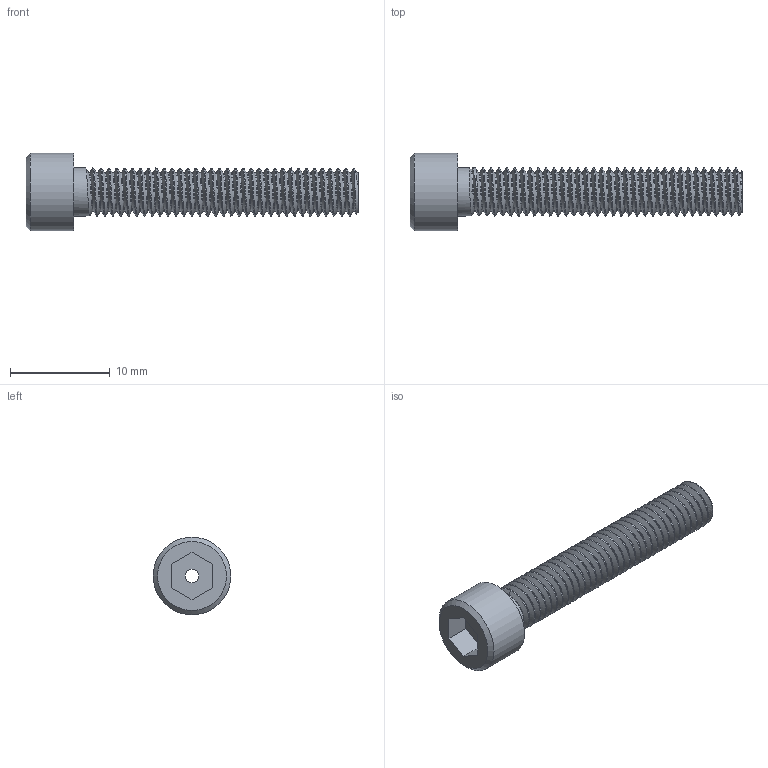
import cadquery as cq
import math

head_diameter = 7.81
head_height = 4.775
head_chamfer = 0.44
shank_length = 28.575
major_diameter = 4.826
total_length = head_height + shank_length

socket_across_flats = 4.12
socket_depth = 2.4
hex_sides = 6
hex_half_step = 180 / hex_sides
bore_diameter = 1.35

inch = 25.4
threads_per_inch = 32
pitch = inch / threads_per_inch
thread_depth = 0.49
crest_width = pitch / 8
flank_half_angle = math.radians(30)
thread_start = head_height + 1.57
overrun = 2 * pitch
groove_clearance = 0.1
minor_radius = major_diameter / 2 - thread_depth

runout_angle = math.radians(120)
runout_steps = 5

tip_face_diameter = 4.16
tip_chamfer_length = 0.33
envelope_clearance = 0.5


def make_head():
    head = cq.Workplane("YZ").circle(head_diameter / 2).extrude(head_height)
    return head.faces("<X").chamfer(head_chamfer)


def make_shank():
    shank = cq.Workplane("YZ").workplane(offset=head_height)
    return shank.circle(major_diameter / 2).extrude(shank_length)


def make_tip_envelope():
    """Round bar around the shank whose far end carries the tip chamfer."""
    chamfer_slope = (major_diameter - tip_face_diameter) / 2 / tip_chamfer_length
    envelope_radius = major_diameter / 2 + envelope_clearance
    chamfer_length = tip_chamfer_length + envelope_clearance / chamfer_slope
    envelope = cq.Workplane("XY").polyline([
        (0, 0),
        (0, envelope_radius),
        (total_length - chamfer_length, envelope_radius),
        (total_length, tip_face_diameter / 2),
        (total_length, 0),
    ]).close()
    return envelope.revolve(360, (0, 0, 0), (1, 0, 0))


def groove_outline(root_radius):
    """Corners of the V groove as (radius, axial offset) with its root at root_radius."""
    flank_slope = math.tan(flank_half_angle)
    outer_half = (pitch - crest_width) / 2 + groove_clearance * flank_slope
    root_half = (pitch - crest_width) / 2 - thread_depth * flank_slope
    outer_radius = root_radius + thread_depth + groove_clearance
    return [
        (root_radius, -root_half),
        (outer_radius, -outer_half),
        (outer_radius, outer_half),
        (root_radius, root_half),
    ]


def make_thread_groove():
    """Helical V groove, wound along Z and then laid along X to start at the top."""
    profile = cq.Workplane("XZ").polyline(groove_outline(minor_radius)).close()
    helix_length = total_length - thread_start + overrun
    helix = cq.Workplane(cq.Wire.makeHelix(pitch, helix_length, minor_radius))
    groove = profile.sweep(helix, isFrenet=True)
    groove = groove.rotate((0, 0, 0), (0, 0, 1), 180)
    groove = groove.rotate((0, 0, 0), (0, 1, 0), 90)
    return groove.translate((thread_start, 0, 0))


def make_thread_runout():
    """Groove continued backward along the helix, rising steadily out of the shank."""
    sections = []
    for step in range(runout_steps + 1):
        fraction = step / runout_steps
        angle = fraction * runout_angle
        center = thread_start - pitch * angle / (2 * math.pi)
        corners = [
            cq.Vector(center + offset, radius * math.sin(angle), radius * math.cos(angle))
            for radius, offset in groove_outline(minor_radius + fraction * thread_depth)
        ]
        sections.append(cq.Wire.makePolygon(corners, close=True))
    return cq.Workplane(cq.Solid.makeLoft(sections))


def make_socket():
    """Hexagonal pocket with corners at the top and bottom."""
    corner_diameter = socket_across_flats / math.cos(math.radians(hex_half_step))
    socket = cq.Workplane("YZ").polygon(hex_sides, corner_diameter).extrude(socket_depth)
    return socket.rotate((0, 0, 0), (1, 0, 0), hex_half_step)


def make_bore():
    return cq.Workplane("YZ").circle(bore_diameter / 2).extrude(total_length)


shank = make_shank().cut(make_thread_groove()).cut(make_thread_runout())
shank = shank.intersect(make_tip_envelope())
result = make_head().union(shank).cut(make_socket()).cut(make_bore())